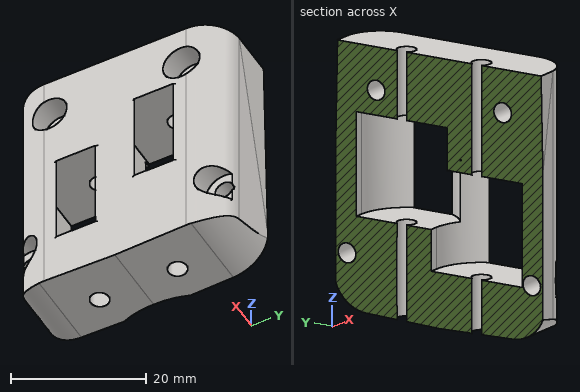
import cadquery as cq
import math

depth = 13.0
height = 41.75
wide_half = 18.7
corner_radius = 6.0
side_taper = math.radians(5.4)
bottom_slope = math.radians(1.7)

corner_x = depth - corner_radius
corner_y = wide_half - corner_x * math.tan(side_taper) - corner_radius / math.cos(side_taper)
tangent_x = corner_x + corner_radius * math.sin(side_taper)
narrow_half = corner_y + corner_radius * math.cos(side_taper)

pocket_radius = 7.95
pocket_axis_x = 5.75
pocket_offset = 6.6
pocket_levels = [(1, 15.1, 31.15), (-1, 8.7, 24.58)]

channel_half = 5.65
channel_depth = 1.13
channel_top = 30.67

hole_diameter = 3.0
counterbore_diameter = 2 * hole_diameter
counterbore_floor = 9.0
screw_places = [(11.15, 35.0), (16.27, 9.2)]


def plan_prism():
    """Plan outline: tapered sides run tangent into the round back corners."""
    diagonal = corner_radius * math.sqrt(0.5)
    mid_x = corner_x + diagonal
    mid_y = corner_y + diagonal
    return (
        cq.Workplane("XY")
        .moveTo(0, -wide_half)
        .lineTo(tangent_x, -narrow_half)
        .threePointArc((mid_x, -mid_y), (depth, -corner_y))
        .lineTo(depth, corner_y)
        .threePointArc((mid_x, mid_y), (tangent_x, narrow_half))
        .lineTo(0, wide_half)
        .close()
        .extrude(height)
    )


def face_prism():
    """Outline of the mounting face: tapered sides, round lower corners, shallow V bottom."""
    center_y = wide_half - corner_radius
    center_z = (corner_radius + center_y * math.sin(bottom_slope)) / math.cos(bottom_slope)
    end_y = center_y + corner_radius * math.sin(bottom_slope)
    end_z = center_z - corner_radius * math.cos(bottom_slope)
    diagonal = corner_radius * math.sqrt(0.5)
    mid_y = center_y + diagonal
    mid_z = center_z - diagonal
    return (
        cq.Workplane("YZ")
        .moveTo(0, 0)
        .lineTo(end_y, end_z)
        .threePointArc((mid_y, mid_z), (wide_half, center_z))
        .lineTo(narrow_half, height)
        .lineTo(-narrow_half, height)
        .lineTo(-wide_half, center_z)
        .threePointArc((-mid_y, mid_z), (-end_y, end_z))
        .close()
        .extrude(depth)
    )


def pocket(side, floor_z, ceiling_z):
    """Cylinder, cut off by the back face, with a straight mouth to the mounting face."""
    pocket_height = ceiling_z - floor_z
    plane = cq.Workplane("XY", origin=(0, side * pocket_offset, floor_z))
    barrel = plane.center(pocket_axis_x, 0).circle(pocket_radius).extrude(pocket_height)
    mouth = plane.rect(2 * pocket_axis_x, 2 * pocket_radius).extrude(pocket_height)
    return barrel.union(mouth)


def channel():
    return (
        cq.Workplane("XY")
        .moveTo(0, -channel_half)
        .threePointArc((channel_depth, 0), (0, channel_half))
        .close()
        .extrude(channel_top)
    )


def screw_hole(y, z):
    plane = cq.Workplane("YZ", origin=(0, y, z))
    bore = plane.circle(hole_diameter / 2).extrude(depth)
    counterbore = (
        plane.workplane(offset=counterbore_floor)
        .circle(counterbore_diameter / 2)
        .extrude(depth - counterbore_floor)
    )
    return bore.union(counterbore)


def shaft_hole(side):
    return (
        cq.Workplane("XY")
        .center(pocket_axis_x, side * pocket_offset)
        .circle(hole_diameter / 2)
        .extrude(height)
    )


result = plan_prism().intersect(face_prism())
result = result.cut(channel())

for side, floor_z, ceiling_z in pocket_levels:
    result = result.cut(pocket(side, floor_z, ceiling_z))
    result = result.cut(shaft_hole(side))
    for distance, z in screw_places:
        result = result.cut(screw_hole(side * distance, z))